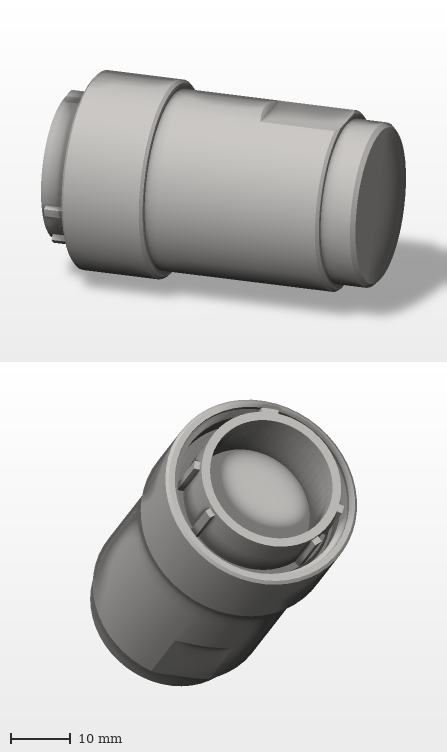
import cadquery as cq
import math

total_length = 56.0
key_start = 0.8
collar_start = 5.05
collar_end = 19.4
body_end = 50.05

bore_radius = 10.8
sleeve_radius = 12.3
key_tip_radius = 13.4
collar_radius = 16.9
body_radius = 15.4
tail_radius = 14.0

collar_front_chamfer_length = 0.45
collar_chamfer = 0.5
body_chamfer = 0.5
tail_chamfer = 0.7

bore_depth = 12.45
mouth_radius = 15.4
mouth_depth = 0.85
cone_depth = 1.7
throat_radius = 14.4
groove_inner_radius = 13.95
cavity_floor_radius = 13.45
cavity_depth = 4.8
groove_depth = 5.6

flat_width = 10.15
flat_start = 36.45
flat_height = math.sqrt(body_radius**2 - (flat_width / 2) ** 2)
flat_depth = body_radius - flat_height

keys = [(90.0, 3.0), (5.0, 1.45), (195.0, 1.45), (230.0, 1.45), (325.0, 1.45)]


def revolve_about_x(points):
    """Revolve a closed (x, radius) outline about the X axis."""
    return cq.Workplane("XY").polyline(points).close().revolve(360, (0, 0, 0), (1, 0, 0))


def make_shell():
    """The round body with its sleeve, collar, bore and annular cavity."""
    return revolve_about_x([
        (bore_depth, 0),
        (bore_depth, bore_radius),
        (0, bore_radius),
        (0, sleeve_radius),
        (collar_start + cavity_depth, sleeve_radius),
        (collar_start + cavity_depth, cavity_floor_radius),
        (collar_start + groove_depth, groove_inner_radius),
        (collar_start + groove_depth, throat_radius),
        (collar_start + cone_depth, throat_radius),
        (collar_start + mouth_depth, mouth_radius),
        (collar_start, mouth_radius),
        (collar_start, collar_radius - collar_chamfer),
        (collar_start + collar_front_chamfer_length, collar_radius),
        (collar_end - collar_chamfer, collar_radius),
        (collar_end, collar_radius - collar_chamfer),
        (collar_end, body_radius),
        (body_end - body_chamfer, body_radius),
        (body_end, body_radius - body_chamfer),
        (body_end, tail_radius),
        (total_length - tail_chamfer, tail_radius),
        (total_length, tail_radius - tail_chamfer),
        (total_length, 0),
    ])


def make_key(angle, width):
    """A straight key with a rounded crest on the sleeve, reaching back to the cavity floor."""
    length = collar_start + cavity_depth - key_start
    root_radius = (bore_radius + sleeve_radius) / 2
    radial_bar = cq.Workplane("XY").box(length, key_tip_radius, width, centered=(False, False, True))
    ring = cq.Workplane("YZ").circle(key_tip_radius).circle(root_radius).extrude(length)
    key = radial_bar.intersect(ring).translate((key_start, 0, 0))
    return key.rotate((0, 0, 0), (1, 0, 0), angle)


def make_flat_cutter():
    """Removes one wrench flat on the +Z side, with a 45 degree run-out at its start."""
    return (
        cq.Workplane("XZ")
        .polyline([
            (flat_start, flat_height),
            (body_end, flat_height),
            (body_end, body_radius),
            (flat_start - flat_depth, body_radius),
        ])
        .close()
        .extrude(body_radius, both=True)
    )


result = make_shell()
for key_angle, key_width in keys:
    result = result.union(make_key(key_angle, key_width))

flat_cutter = make_flat_cutter()
result = result.cut(flat_cutter).cut(flat_cutter.mirror("XY"))